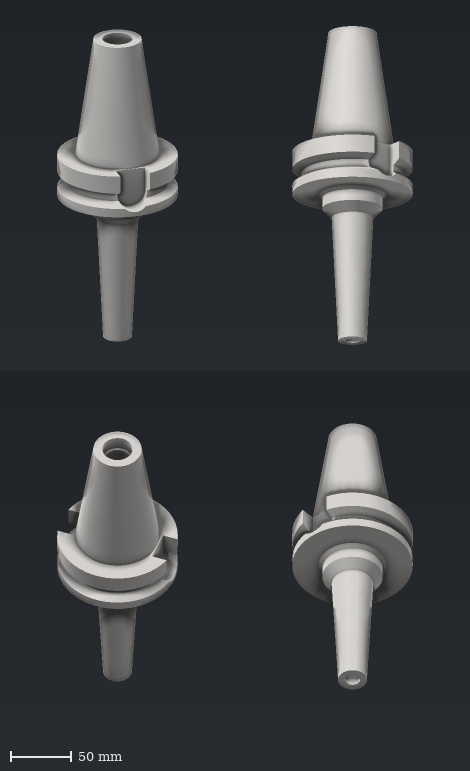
import cadquery as cq

total_length = 266.8

taper_length = 102.0
taper_large_radius = 35.0
taper_slope = 7 / 48
taper_small_radius = taper_large_radius - taper_slope * taper_length
gauge_z = total_length - taper_length

flange_radius = 50.02
flange_top_z = gauge_z - 1.3
flange_bottom_z = gauge_z - 38.0
groove_root_radius = 42.5
groove_middle_z = gauge_z - 23.2
groove_root_width = 6.5
groove_mouth_width = 14.1

collar_radius = 25.0
collar_relief = 3.2
collar_bottom_z = gauge_z - 50.5
nose_top_radius = 17.3
nose_bottom_radius = 12.0
nose_top_z = collar_bottom_z - (collar_radius - nose_top_radius)

slot_width = 25.5
slot_floor_x = 35.5
slot_bottom_z = gauge_z - 34.2

bore_steps = [(12.5, 12.0), (10.7, 48.0), (7.0, 160.0)]
through_radius = 6.1


def make_body():
    """Revolve the outer half profile about Z."""
    outline = [
        (0, 0),
        (nose_bottom_radius, 0),
        (nose_top_radius, nose_top_z),
        (collar_radius, collar_bottom_z),
        (collar_radius, flange_bottom_z - collar_relief),
        (collar_radius + collar_relief, flange_bottom_z),
        (flange_radius, flange_bottom_z),
        (flange_radius, groove_middle_z - groove_mouth_width / 2),
        (groove_root_radius, groove_middle_z - groove_root_width / 2),
        (groove_root_radius, groove_middle_z + groove_root_width / 2),
        (flange_radius, groove_middle_z + groove_mouth_width / 2),
        (flange_radius, flange_top_z),
        (taper_large_radius, flange_top_z),
        (taper_large_radius, gauge_z),
        (taper_small_radius, total_length),
        (0, total_length),
    ]
    return cq.Workplane("XZ").polyline(outline).close().revolve(360, (0, 0, 0), (0, 1, 0))


def drive_slot(side):
    """Round-bottomed slot cutter, open at the top and outside; side is +1 or -1 along X."""
    half_width = slot_width / 2
    arc_center_z = slot_bottom_z + half_width
    return (
        cq.Workplane("YZ", origin=(side * slot_floor_x, 0, 0))
        .moveTo(-half_width, gauge_z)
        .lineTo(-half_width, arc_center_z)
        .threePointArc((0, slot_bottom_z), (half_width, arc_center_z))
        .lineTo(half_width, gauge_z)
        .close()
        .extrude(side * flange_radius)
    )


def bore(radius, depth):
    """Round cutter reaching the given depth below the top face."""
    return cq.Workplane("XY", origin=(0, 0, total_length - depth)).circle(radius).extrude(depth)


result = make_body()
for side in (-1, 1):
    result = result.cut(drive_slot(side))
for radius, depth in bore_steps:
    result = result.cut(bore(radius, depth))
result = result.cut(bore(through_radius, total_length))